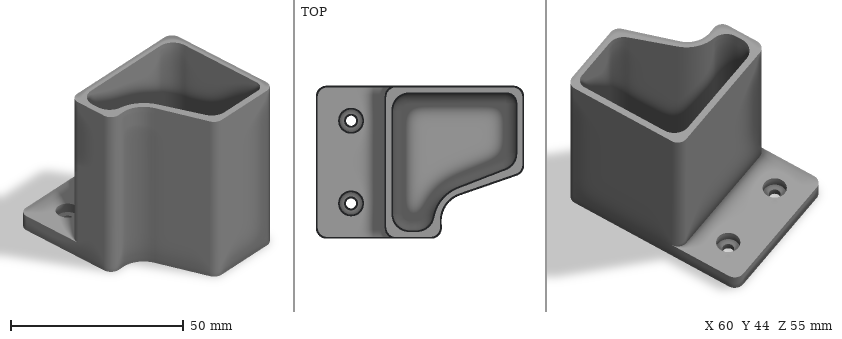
import cadquery as cq
import math

LENGTH = 60.0
WIDTH = 44.0
HEIGHT = 55.0

FLANGE_THICKNESS = 5.05
FLANGE_REACH = 20.0
CORNER_RADIUS = 3.0

FOOT_RIGHT = 36.2
FOOT_LEAN = 0.25
SLOPE_START_Y = 10.7
SLOPE_END_Y = 19.0
THROAT_RADIUS = 8.0

WALL = 2.0
FLOOR_THICKNESS = WALL
POCKET_CORNER_RADIUS = 5.0
POCKET_SHARP_RADIUS = 3.0
POCKET_FLOOR_FILLET = 2.95
POCKET_FRONT_FLAT = 2.1
POCKET_SLOPE_ANGLE = 21.2
POCKET_SLOPE_CORNER_Y = 24.6
POCKET_THROAT_RADIUS = 11.3

HOLE_DIAMETER = 3.4
COUNTERBORE_DIAMETER = 7.0
COUNTERBORE_DEPTH = 3.0
HOLE_X = FLANGE_REACH / 2
HOLE_SPACING = 24.0
FRONT_HOLE_Y = 10.0


def polar(center, radius, degrees):
    """Point at a given direction and distance from a centre."""
    angle = math.radians(degrees)
    return (center[0] + radius * math.cos(angle), center[1] + radius * math.sin(angle))


def make_tower():
    throat_corner = (FOOT_RIGHT - FOOT_LEAN, SLOPE_START_Y)
    outline = [
        (FLANGE_REACH, 0),
        (FOOT_RIGHT, 0),
        throat_corner,
        (LENGTH, SLOPE_END_Y),
        (LENGTH, WIDTH),
        (FLANGE_REACH, WIDTH),
    ]
    tower = cq.Workplane("XY").polyline(outline).close().extrude(HEIGHT)
    throat = cq.selectors.NearestToPointSelector((*throat_corner, HEIGHT / 2))
    tower = tower.edges(throat).fillet(THROAT_RADIUS)
    for corner in outline:
        if corner != throat_corner:
            edge = cq.selectors.NearestToPointSelector((*corner, HEIGHT / 2))
            tower = tower.edges(edge).fillet(CORNER_RADIUS)
    return tower


def make_flange():
    return (
        cq.Workplane("XY")
        .box(FLANGE_REACH + 2 * CORNER_RADIUS, WIDTH, FLANGE_THICKNESS, centered=False)
        .edges("|Z and <X")
        .fillet(CORNER_RADIUS)
    )


def make_pocket():
    left = FLANGE_REACH + WALL
    right = LENGTH - WALL
    front = WALL
    back = WIDTH - WALL
    radius = POCKET_CORNER_RADIUS

    front_left = (left + radius, front + radius)
    front_right = (front_left[0] + POCKET_FRONT_FLAT, front + radius)
    slope_corner = (right - radius, POCKET_SLOPE_CORNER_Y)
    back_right = (right - POCKET_SHARP_RADIUS, back - POCKET_SHARP_RADIUS)
    back_left = (left + radius, back - radius)

    slope_normal = POCKET_SLOPE_ANGLE - 90
    base = polar(slope_corner, radius + POCKET_THROAT_RADIUS, slope_normal)
    slope = math.radians(POCKET_SLOPE_ANGLE)
    offset_x = front_right[0] - base[0]
    offset_y = front_right[1] - base[1]
    along = offset_x * math.cos(slope) + offset_y * math.sin(slope)
    across = offset_y * math.cos(slope) - offset_x * math.sin(slope)
    reach = math.sqrt((radius + POCKET_THROAT_RADIUS) ** 2 - across ** 2)
    throat = polar(base, along + reach, POCKET_SLOPE_ANGLE)
    joint_angle = math.degrees(
        math.atan2(throat[1] - front_right[1], throat[0] - front_right[0])
    )
    throat_start = joint_angle + 180
    throat_end = POCKET_SLOPE_ANGLE + 90

    profile = (
        cq.Workplane("XY")
        .workplane(offset=FLOOR_THICKNESS)
        .moveTo(front_left[0], front)
        .lineTo(front_right[0], front)
        .threePointArc(
            polar(front_right, radius, (joint_angle - 90) / 2),
            polar(front_right, radius, joint_angle),
        )
        .threePointArc(
            polar(throat, POCKET_THROAT_RADIUS, (throat_start + throat_end) / 2),
            polar(throat, POCKET_THROAT_RADIUS, throat_end),
        )
        .lineTo(*polar(slope_corner, radius, slope_normal))
        .threePointArc(
            polar(slope_corner, radius, slope_normal / 2),
            (right, slope_corner[1]),
        )
        .lineTo(right, back_right[1])
        .threePointArc(
            polar(back_right, POCKET_SHARP_RADIUS, 45),
            (back_right[0], back),
        )
        .lineTo(back_left[0], back)
        .threePointArc(polar(back_left, radius, 135), (left, back_left[1]))
        .lineTo(left, front_left[1])
        .threePointArc(polar(front_left, radius, 225), (front_left[0], front))
        .close()
    )
    pocket = profile.extrude(HEIGHT - FLOOR_THICKNESS)
    return pocket.faces("<Z").edges().fillet(POCKET_FLOOR_FILLET)


def drill_flange(body):
    centers = [(HOLE_X, FRONT_HOLE_Y + i * HOLE_SPACING) for i in range(2)]
    return (
        body.cut(
            cq.Workplane("XY")
            .pushPoints(centers)
            .circle(HOLE_DIAMETER / 2)
            .extrude(FLANGE_THICKNESS)
        )
        .cut(
            cq.Workplane("XY")
            .workplane(offset=FLANGE_THICKNESS - COUNTERBORE_DEPTH)
            .pushPoints(centers)
            .circle(COUNTERBORE_DIAMETER / 2)
            .extrude(COUNTERBORE_DEPTH)
        )
    )


body = make_tower().union(make_flange()).cut(make_pocket())
result = drill_flange(body)